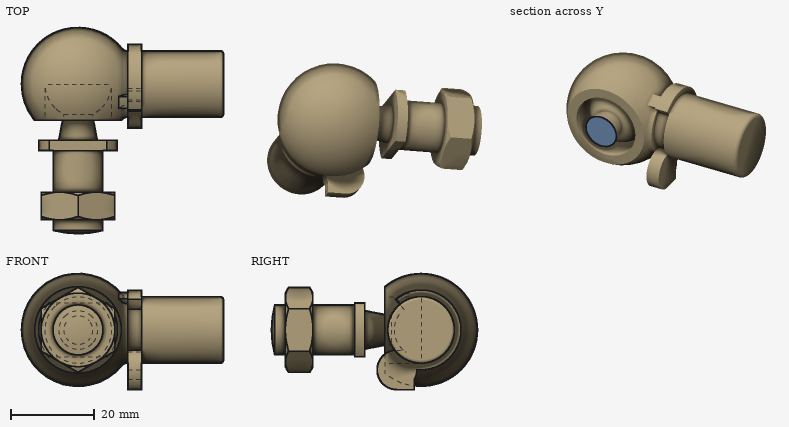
import cadquery as cq
import math


housing_radius = 13.6
socket_face = 8.75
shank_radius = 8.0
shank_end = 35.0
shank_rounding = 0.8
neck_fillet = 1.6

ball_radius = 8.0
taper_start = 6.0
taper_start_radius = 3.22
flange_start = 13.5
taper_end_radius = 4.64
flange_thickness = 2.5
flange_diameter = 19.0
flange_flats = 13.0
stud_radius = 6.0
stud_edge = 35.2
stud_tip = 36.0

nut_start = 26.0
nut_thickness = 6.65
nut_flats = 17.7
nut_chamfer_angle = 30.0

groove_start = 12.0
groove_end = 15.3
groove_radius = 6.5
clip_radius = 9.6
clip_end_angle = 130.0
tab_start = 9.75
tab_radius = 9.5
tab_angles = (108.6, 128.0)
grip_radius = 4.78
grip_tip = -10.6
grip_bottom = -14.4
grip_back = -1.6


def polar(radius, angle):
    """Point in the YZ plane at an angle in degrees from +Y towards +Z."""
    return radius * math.cos(math.radians(angle)), radius * math.sin(math.radians(angle))


def cylinder_x(radius, start, end):
    """Cylinder about the X axis."""
    return cq.Workplane("YZ", origin=(start, 0, 0)).circle(radius).extrude(end - start)


def cylinder_y(radius, start, end):
    """Cylinder about the Y axis between two distances along -Y."""
    return cq.Workplane("XZ", origin=(0, -start, 0)).circle(radius).extrude(end - start)


def sector_x(radius, first_angle, last_angle, start, end):
    """Pie slice about the X axis between two angles."""
    middle_angle = (first_angle + last_angle) / 2
    return (
        cq.Workplane("YZ", origin=(start, 0, 0))
        .lineTo(*polar(radius, first_angle))
        .threePointArc(polar(radius, middle_angle), polar(radius, last_angle))
        .close()
        .extrude(end - start)
    )


def make_housing():
    """Ball and shank turned about X, with the flat socket face, bore and clip groove."""
    blend_y = shank_radius + neck_fillet
    blend_x = math.sqrt((housing_radius + neck_fillet) ** 2 - blend_y ** 2)
    ball_share = housing_radius / (housing_radius + neck_fillet)
    ball_touch = (blend_x * ball_share, blend_y * ball_share)
    touch_angle = math.atan2(blend_y, blend_x)
    middle_angle = (touch_angle + math.pi / 2) / 2
    blend_middle = (
        blend_x - neck_fillet * math.cos(middle_angle),
        blend_y - neck_fillet * math.sin(middle_angle),
    )
    housing = (
        cq.Workplane("XY")
        .moveTo(-housing_radius, 0)
        .threePointArc((0, housing_radius), ball_touch)
        .threePointArc(blend_middle, (blend_x, shank_radius))
        .lineTo(shank_end - shank_rounding, shank_radius)
        .radiusArc((shank_end, shank_radius - shank_rounding), shank_rounding)
        .lineTo(shank_end, 0)
        .close()
        .revolve(360, (0, 0, 0), (1, 0, 0))
    )
    housing = housing.cut(cylinder_y(housing_radius, socket_face, 2 * housing_radius))
    groove = cylinder_x(clip_radius, groove_start, groove_end)
    groove = groove.cut(cylinder_x(groove_radius, groove_start, groove_end))
    return housing.cut(groove)


def make_socket_gap():
    """Space in the socket bore that stays open around the ball."""
    ball_middle = ball_radius * math.sqrt(0.5)
    return (
        cq.Workplane("XY")
        .moveTo(ball_radius, 0)
        .lineTo(ball_radius, -socket_face)
        .lineTo(0, -socket_face)
        .lineTo(0, -ball_radius)
        .threePointArc((ball_middle, -ball_middle), (ball_radius, 0))
        .close()
        .revolve(360, (0, 0, 0), (0, 1, 0))
    )


def make_stud():
    """Tapered neck, flange with two flats, shank and domed tip, all about Y."""
    flange_end = flange_start + flange_thickness
    body = (
        cq.Workplane("XY")
        .moveTo(0, -taper_start)
        .lineTo(taper_start_radius, -taper_start)
        .lineTo(taper_end_radius, -flange_start)
        .lineTo(stud_radius, -flange_start)
        .lineTo(stud_radius, -stud_edge)
    )
    dome_height = stud_tip - stud_edge
    dome_radius = (stud_radius ** 2 + dome_height ** 2) / (2 * dome_height)
    half_chord = stud_radius / 2
    dome_middle = -stud_tip + dome_radius - math.sqrt(dome_radius ** 2 - half_chord ** 2)
    body = (
        body.threePointArc((half_chord, dome_middle), (0, -stud_tip))
        .close()
        .revolve(360, (0, 0, 0), (0, 1, 0))
    )
    flange = cylinder_y(flange_diameter / 2, flange_start, flange_end)
    flats = cq.Workplane("XY").box(flange_diameter, 2 * flange_end, flange_flats)
    return body.union(flange.intersect(flats))


def make_nut():
    """Hexagon nut with a corner up, both faces chamfered down to the flats."""
    corner_radius = nut_flats / math.sqrt(3)
    face_radius = nut_flats / 2
    chamfer_depth = (corner_radius - face_radius) * math.tan(math.radians(nut_chamfer_angle))
    nut_end = nut_start + nut_thickness
    hexagon = (
        cq.Workplane("XZ", origin=(0, -nut_start, 0))
        .transformed(rotate=(0, 0, 90))
        .polygon(6, 2 * corner_radius)
        .extrude(nut_thickness)
    )
    envelope = (
        cq.Workplane("XY")
        .moveTo(0, -nut_start)
        .lineTo(face_radius, -nut_start)
        .lineTo(corner_radius, -nut_start - chamfer_depth)
        .lineTo(corner_radius, -nut_end + chamfer_depth)
        .lineTo(face_radius, -nut_end)
        .lineTo(0, -nut_end)
        .close()
        .revolve(360, (0, 0, 0), (0, 1, 0))
    )
    return hexagon.intersect(envelope)


def make_clip():
    """Open ring with a finger grip at one end and a locking tab at the other."""
    grip_y = grip_tip + grip_radius
    grip_z = grip_bottom + grip_radius
    grip_angle = 360 + math.degrees(math.atan2(grip_z, grip_y))
    ring = cylinder_x(clip_radius, groove_start, groove_end)
    ring = ring.cut(sector_x(2 * clip_radius, clip_end_angle, grip_angle, groove_start, groove_end))

    grip = (
        cq.Workplane("YZ", origin=(groove_start, 0, 0))
        .center(grip_y, grip_z)
        .circle(grip_radius)
        .extrude(groove_end - groove_start)
    )
    pad = (
        cq.Workplane("YZ", origin=(groove_start, 0, 0))
        .moveTo(grip_y, grip_bottom)
        .lineTo(grip_back, grip_bottom)
        .lineTo(grip_back, -groove_radius)
        .lineTo(grip_y, grip_z)
        .close()
        .extrude(groove_end - groove_start)
    )
    tab = sector_x(tab_radius, *tab_angles, tab_start, groove_end)
    return ring.union(grip).union(pad).union(tab)


result = make_housing().union(make_clip()).cut(make_socket_gap()).union(make_stud()).union(make_nut())